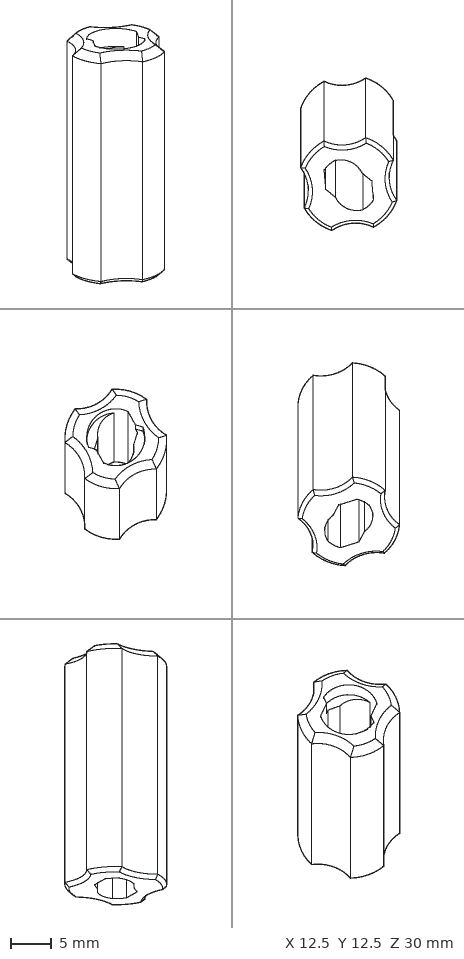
import cadquery as cq
import math

length = 30.0
lobe_radius = 6.25
lobe_half_width = 2.22
flute_bottom_radius = 4.98
flute_count = 4
top_chamfer = 1.0
bottom_chamfer = 0.5

bore_radius = 7.1 / 2
flat_angle = math.radians(45)
flat_offset = 2.85
wall_offset = 2.22
side_radius = 2.82
side_reach = 2.5
side_center_y = 1.0
pocket_depth = 2.35
pocket_wall = 2.15


def polar(radius, angle):
    return (radius * math.cos(angle), radius * math.sin(angle))


def opposite(point):
    return (-point[0], -point[1])


def fluted_body():
    """Four-lobed bar with concave flutes on the diagonals and chamfered ends."""
    lobe_half_angle = math.asin(lobe_half_width / lobe_radius)
    pitch = 2 * math.pi / flute_count
    outline = cq.Workplane("XY").moveTo(*polar(lobe_radius, -lobe_half_angle))
    for i in range(flute_count):
        lobe = i * pitch
        next_lobe_start = polar(lobe_radius, lobe + pitch - lobe_half_angle)
        lobe_end = polar(lobe_radius, lobe + lobe_half_angle)
        outline = outline.threePointArc(polar(lobe_radius, lobe), lobe_end)
        outline = outline.threePointArc(polar(flute_bottom_radius, lobe + pitch / 2), next_lobe_start)
    body = outline.close().extrude(length)
    body = body.faces(">Z").chamfer(top_chamfer)
    return body.faces("<Z").chamfer(bottom_chamfer)


def through_opening():
    """Full-length opening, unchanged by a half turn about the axis."""
    half_chord_angle = math.acos(flat_offset / bore_radius)
    flat_start = (wall_offset, flat_offset / math.cos(flat_angle) - wall_offset)
    flat_end = polar(bore_radius, flat_angle + half_chord_angle)

    side_center_x = side_radius - side_reach
    center_distance = math.hypot(side_center_x, side_center_y)
    crossing_reach = (bore_radius**2 - side_radius**2 + center_distance**2) / (2 * center_distance)
    crossing_angle = math.atan2(side_center_y, side_center_x) + math.acos(crossing_reach / bore_radius)
    side_start = polar(bore_radius, crossing_angle)
    bore_mid = polar(bore_radius, (flat_angle + half_chord_angle + crossing_angle) / 2)
    side_mid = (-side_reach, side_center_y)
    wall_to_center = wall_offset + side_center_x
    side_end = (-wall_offset, side_center_y - math.sqrt(side_radius**2 - wall_to_center**2))

    outline = cq.Workplane("XY").moveTo(*flat_start)
    outline = outline.lineTo(*flat_end)
    outline = outline.threePointArc(bore_mid, side_start)
    outline = outline.threePointArc(side_mid, side_end)
    outline = outline.lineTo(*opposite(flat_start))
    outline = outline.lineTo(*opposite(flat_end))
    outline = outline.threePointArc(opposite(bore_mid), opposite(side_start))
    outline = outline.threePointArc(opposite(side_mid), opposite(side_end))
    return outline.close().extrude(length)


def side_pockets():
    """Shallow pair of pockets at the top, opening each side out to the bore circle."""
    reach = math.sqrt(bore_radius**2 - pocket_wall**2)
    wall_outer = (reach, pocket_wall)
    pocket_floor = cq.Workplane("XY").workplane(offset=length - pocket_depth)
    outline = pocket_floor.moveTo(0, pocket_wall)
    outline = outline.lineTo(*wall_outer)
    outline = outline.threePointArc((bore_radius, 0), (0, -bore_radius))
    right_pocket = outline.close().extrude(pocket_depth)
    left_pocket = right_pocket.rotate((0, 0, 0), (0, 0, 1), 180)
    return right_pocket.union(left_pocket)


result = fluted_body().cut(through_opening()).cut(side_pockets())